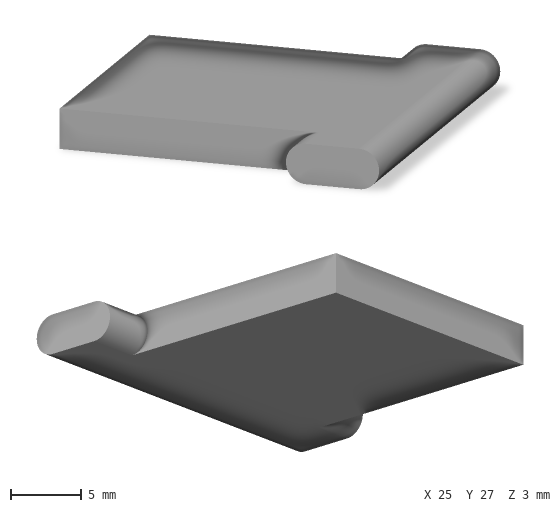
import cadquery as cq

thickness = 3.0
overall_length = 25.0
plate_width = 20.0
bar_width = 7.0
front_lug_length = 3.0
back_lug_length = 4.0

edge_radius = thickness / 2
bar_length = front_lug_length + plate_width + back_lug_length
bar_center_x = overall_length - bar_width / 2
plate_length = bar_center_x


def make_plate():
    """Flat rectangular plate, with its square edge on X = 0."""
    return cq.Workplane("XY").box(plate_length, plate_width, thickness, centered=(False, True, True))


def make_bar():
    """Bar along Y with fully rounded long edges, overhanging the plate at both ends."""
    bar_start_y = -plate_width / 2 - front_lug_length
    return (
        cq.Workplane("XZ", origin=(bar_center_x, bar_start_y, 0))
        .slot2D(bar_width, 2 * edge_radius)
        .extrude(-bar_length)
    )


result = make_plate().union(make_bar())